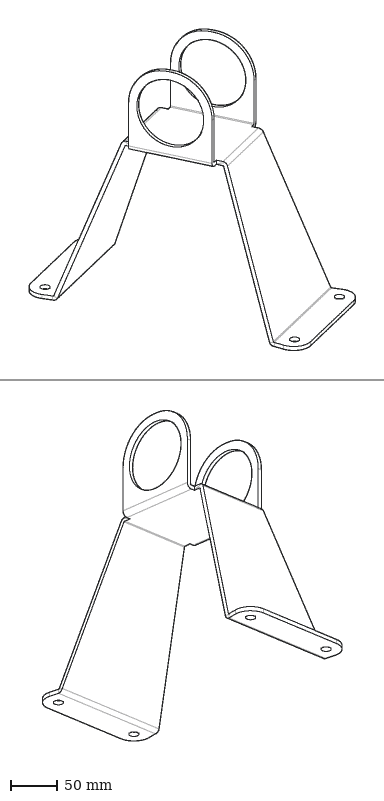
import cadquery as cq
import math

sheet = 5.0
inner_bend = 1.0
outer_bend = inner_bend + sheet

length = 334.8
foot_width = 150.3
height = 296.5

platform_top = 195.5
platform_width = 90.5
platform_corner_x = 62.3

leg_angle = math.radians(20)
foot_taper = math.radians(8)
foot_corner_radius = 20.0
bolt_hole_diameter = 11.0
bolt_edge_distance = 18.0
bolt_spacing = 114.0

ear_width = 100.0
ear_span = 112.0
ear_corner_radius = 48.0
ear_hole_diameter = 80.0

lean = math.tan(leg_angle)
fold_x = platform_corner_x + (platform_top - sheet) * lean
leg_bottom_x = platform_corner_x + platform_top * lean
leg_thickness_x = sheet / math.cos(leg_angle)
foot_end = length / 2
foot_fillet_x = foot_end - foot_corner_radius
foot_fillet_y = foot_width / 2 - foot_corner_radius
taper_end_x = foot_fillet_x - foot_corner_radius * math.sin(foot_taper)
taper_end_y = foot_fillet_y + foot_corner_radius * math.cos(foot_taper)
foot_start = fold_x + inner_bend
foot_start_y = taper_end_y - (taper_end_x - foot_start) * math.tan(foot_taper)


def folded_strip():
    """Half of the platform, one leg and the start of its foot, at full foot width."""
    platform_bottom = platform_top - sheet
    inner_top_x = platform_corner_x + sheet * lean - leg_thickness_x
    inner_bottom_x = leg_bottom_x - leg_thickness_x
    strip = (
        cq.Workplane("XZ")
        .polyline([
            (0, platform_top), (platform_corner_x, platform_top), (fold_x, sheet),
            (foot_start, sheet), (foot_start, 0), (inner_bottom_x, 0),
            (inner_top_x, platform_bottom), (0, platform_bottom),
        ])
        .close()
        .extrude(foot_width / 2, both=True)
    )

    def bend(body, x, z, radius):
        return body.edges(cq.selectors.NearestToPointSelector((x, 0, z))).fillet(radius)

    strip = bend(strip, platform_corner_x, platform_top, outer_bend)
    strip = bend(strip, inner_top_x, platform_bottom, inner_bend)
    strip = bend(strip, fold_x, sheet, inner_bend)
    return bend(strip, inner_bottom_x, 0, outer_bend)


def leg_outline():
    """Prism square to the leg face: platform width at the top, flaring to the foot."""
    leg_plane = cq.Plane(
        origin=(platform_corner_x, 0, platform_top),
        xDir=(0, 1, 0),
        normal=(math.cos(leg_angle), 0, math.sin(leg_angle)),
    )
    leg_length = (platform_top - sheet) / math.cos(leg_angle)
    top = platform_width / 2
    overrun = length / 2
    return (
        cq.Workplane(leg_plane)
        .polyline([
            (-top, overrun), (top, overrun), (top, 0), (foot_start_y, -leg_length),
            (foot_start_y, -leg_length - overrun), (-foot_start_y, -leg_length - overrun),
            (-foot_start_y, -leg_length), (-top, 0),
        ])
        .close()
        .extrude(overrun, both=True)
    )


def foot():
    """Flat foot with tapered sides, rounded corners and two bolt holes."""
    mid_angle = math.pi / 4 + foot_taper / 2
    mid_x = foot_fillet_x + foot_corner_radius * math.cos(mid_angle)
    mid_y = foot_fillet_y + foot_corner_radius * math.sin(mid_angle)
    return (
        cq.Workplane("XY")
        .moveTo(foot_start, -foot_start_y)
        .lineTo(taper_end_x, -taper_end_y)
        .threePointArc((mid_x, -mid_y), (foot_end, -foot_fillet_y))
        .lineTo(foot_end, foot_fillet_y)
        .threePointArc((mid_x, mid_y), (taper_end_x, taper_end_y))
        .lineTo(foot_start, foot_start_y)
        .close()
        .extrude(sheet)
        .faces(">Z").workplane(origin=(0, 0, 0))
        .pushPoints([(foot_end - bolt_edge_distance, side * bolt_spacing / 2) for side in (-1, 1)])
        .hole(bolt_hole_diameter)
    )


def ears():
    """U-shaped channel whose two upright walls have rounded tops and a bore."""
    platform_bottom = platform_top - sheet
    ear_height = height - platform_bottom
    bore_z = height - ear_width / 2
    channel = (
        cq.Workplane("XY")
        .workplane(offset=platform_bottom)
        .rect(ear_width, ear_span)
        .extrude(ear_height)
        .edges("<Z and |X").fillet(outer_bend)
    )
    hollow = (
        cq.Workplane("XY")
        .workplane(offset=platform_top)
        .rect(ear_width, ear_span - 2 * sheet)
        .extrude(ear_height)
        .edges("<Z and |X").fillet(inner_bend)
    )
    wall_outline = (
        cq.Workplane("XY")
        .workplane(offset=platform_bottom)
        .rect(ear_width, ear_span)
        .extrude(ear_height)
        .edges(">Z and |Y").fillet(ear_corner_radius)
    )
    bore = (
        cq.Workplane("XZ")
        .center(0, bore_z)
        .circle(ear_hole_diameter / 2)
        .extrude(ear_span, both=True)
    )
    return channel.cut(hollow).intersect(wall_outline).cut(bore)


half_frame = folded_strip().intersect(leg_outline()).union(foot())
result = half_frame.union(half_frame.mirror("YZ")).union(ears())